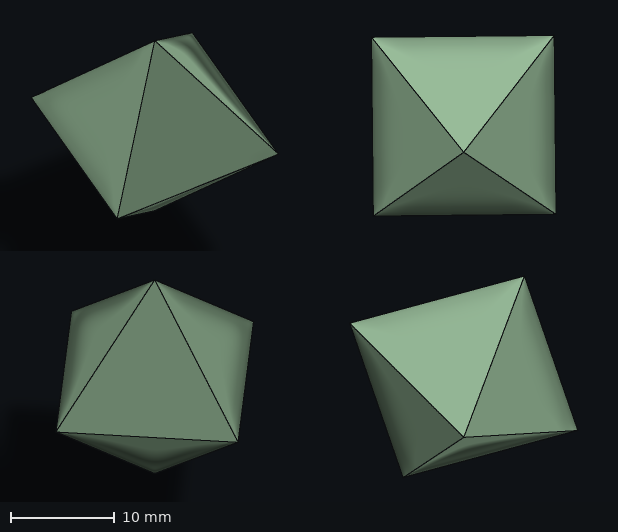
import cadquery as cq

corner_to_corner = 25.0
corner_reach = corner_to_corner / 2


def triangle_face(corners):
    """Flat face bounded by the three given corners."""
    outline = cq.Wire.makePolygon([cq.Vector(*corner) for corner in corners], close=True)
    return cq.Face.makeFromWires(outline)


signs = (-1, 1)
faces = []
for x_sign in signs:
    for y_sign in signs:
        for z_sign in signs:
            x_corner = (x_sign * corner_reach, 0, 0)
            y_corner = (0, y_sign * corner_reach, 0)
            z_corner = (0, 0, z_sign * corner_reach)
            faces.append(triangle_face((x_corner, y_corner, z_corner)))

octahedron = cq.Solid.makeSolid(cq.Shell.makeShell(faces)).fix()
result = cq.Workplane("XY").newObject([octahedron])